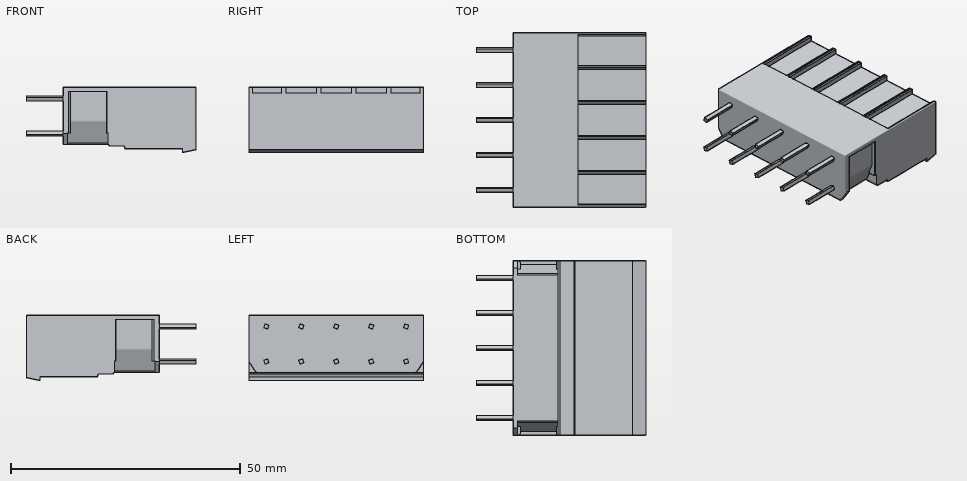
import cadquery as cq
WIDTH = 38.1
LENGTH = 29.0
HALF_WIDTH = WIDTH / 2
POLE_COUNT = 5
POLE_PITCH = WIDTH / POLE_COUNT
EDGE_RADIUS = 0.2

NOSE_BOTTOM = -12.55
SHOULDER_BOTTOM = -12.88
BODY_BOTTOM = -13.45
LATCH_BOTTOM = -14.3
REAR_BOTTOM = -13.65
NOSE_END = 9.83
SHOULDER_CHAMFER = 0.4
SHOULDER_END = 13.3
STEP_DRAFT = 0.2
LATCH_START = 26.0
REAR_EDGE_RADIUS = 0.3

CORNER_WIDTH = 1.6
CORNER_TOP = -10.1

FLANGE_THICKNESS = 0.9
POCKET_START = 1.6
POCKET_END = 9.4
POCKET_TOP = -0.9
POCKET_DEPTH = 0.88
FRONT_BEVEL = 0.4
REAR_BEVEL = 0.15
SLOPE_TOP = -7.45
SLOPE_BOTTOM = -12.15
SLOPE_DEPTH = 2.82
FOOT_BEVEL = 0.35
SLOPE_BLEND_RADIUS = 0.9
WIDE_POCKET_TOP = -9.95

RECESS_START = 14.1
RECESS_DEPTH = 1.25
RIB_TOP_WIDTH = 0.3
RIB_BEVEL_WIDTH = 0.3
RIB_BEVEL_HEIGHT = 0.15
END_RIB_TOP_WIDTH = 0.45

PIN_SIZE = 0.88
PIN_LENGTH = 8.0
PIN_TILT = 20.0
UPPER_PIN_Z = -2.48
LOWER_PIN_Z = UPPER_PIN_Z - POLE_PITCH

CUT_MARGIN = 0.4


def make_body():
    """Side profile extruded across the width, with rounded front, top and rear side edges."""
    body = (
        cq.Workplane("XZ")
        .moveTo(0, 0)
        .lineTo(LENGTH, 0)
        .lineTo(LENGTH, REAR_BOTTOM)
        .lineTo(LATCH_START, LATCH_BOTTOM)
        .lineTo(LATCH_START, BODY_BOTTOM)
        .lineTo(SHOULDER_END + STEP_DRAFT, BODY_BOTTOM)
        .lineTo(SHOULDER_END, SHOULDER_BOTTOM)
        .lineTo(NOSE_END + SHOULDER_CHAMFER, SHOULDER_BOTTOM)
        .lineTo(NOSE_END, NOSE_BOTTOM)
        .lineTo(0, NOSE_BOTTOM)
        .close()
        .extrude(HALF_WIDTH, both=True)
    )
    for side in (-1, 1):
        body = body.cut(front_corner(side))
    body = body.faces(">X").edges("|Z").fillet(REAR_EDGE_RADIUS)
    return body.faces("<X or >Z").edges("not >X").fillet(EDGE_RADIUS)


def front_corner(side):
    """Wedge that bevels a lower corner of the nose."""
    slope = (CORNER_TOP - NOSE_BOTTOM) / CORNER_WIDTH
    outside = HALF_WIDTH + CUT_MARGIN
    below = NOSE_BOTTOM - CUT_MARGIN
    return (
        cq.Workplane("YZ")
        .moveTo(side * outside, CORNER_TOP + slope * CUT_MARGIN)
        .lineTo(side * (HALF_WIDTH - CORNER_WIDTH - CUT_MARGIN / slope), below)
        .lineTo(side * outside, below)
        .close()
        .extrude(FLANGE_THICKNESS)
    )


def side_pocket():
    """Cutter for the -Y pocket: flat floor that slopes inward below, wider at the bottom."""
    outer = -HALF_WIDTH
    floor = outer + POCKET_DEPTH
    foot = outer + SLOPE_DEPTH
    below = NOSE_BOTTOM

    def wall_cutter(start, end):
        cutter = (
            cq.Workplane("YZ", origin=(start, 0, 0))
            .moveTo(outer, POCKET_TOP)
            .lineTo(floor, POCKET_TOP)
            .lineTo(floor, SLOPE_TOP)
            .lineTo(foot, SLOPE_BOTTOM)
            .lineTo(foot + FOOT_BEVEL, below)
            .lineTo(outer, below)
            .close()
            .extrude(end - start)
        )
        slope_edge = cq.selectors.NearestToPointSelector(((start + end) / 2, floor, SLOPE_TOP))
        return cutter.edges(slope_edge).fillet(SLOPE_BLEND_RADIUS)

    bevels = (
        cq.Workplane("XY", origin=(0, 0, below))
        .moveTo(POCKET_START - FRONT_BEVEL, outer)
        .lineTo(POCKET_START, outer + FRONT_BEVEL)
        .lineTo(POCKET_END, outer + REAR_BEVEL)
        .lineTo(POCKET_END + REAR_BEVEL, outer)
        .close()
        .extrude(POCKET_TOP - below)
    )
    lower_zone = (
        cq.Workplane("XY", origin=(0, 0, below))
        .rect(2 * LENGTH, 2 * WIDTH)
        .extrude(WIDE_POCKET_TOP - below)
    )
    wide_part = wall_cutter(FLANGE_THICKNESS, NOSE_END).intersect(lower_zone)
    return wall_cutter(POCKET_START, POCKET_END).union(bevels).union(wide_part)


def pole_center(index):
    """Y position of a pole, counted from the -Y end."""
    return (index - (POLE_COUNT - 1) / 2) * POLE_PITCH


def pole_recess(index):
    """Cutter for one open-ended top recess between bevelled ribs."""
    center = pole_center(index)
    low = center - POLE_PITCH / 2 + RIB_TOP_WIDTH / 2
    high = center + POLE_PITCH / 2 - RIB_TOP_WIDTH / 2
    if index == 0:
        low = -HALF_WIDTH + END_RIB_TOP_WIDTH
    if index == POLE_COUNT - 1:
        high = HALF_WIDTH - END_RIB_TOP_WIDTH
    wall_low = low + RIB_BEVEL_WIDTH
    wall_high = high - RIB_BEVEL_WIDTH
    return (
        cq.Workplane("YZ", origin=(RECESS_START, 0, 0))
        .moveTo(low, 0)
        .lineTo(wall_low, -RIB_BEVEL_HEIGHT)
        .lineTo(wall_low, -RECESS_DEPTH)
        .lineTo(wall_high, -RECESS_DEPTH)
        .lineTo(wall_high, -RIB_BEVEL_HEIGHT)
        .lineTo(high, 0)
        .close()
        .extrude(LENGTH - RECESS_START)
    )


def pin(y, z, tilt):
    """Square pin turned about its own axis."""
    return (
        cq.Workplane("YZ", origin=(0, y, z))
        .transformed(rotate=(0, 0, tilt))
        .rect(PIN_SIZE, PIN_SIZE)
        .extrude(-PIN_LENGTH)
    )


result = make_body()
pocket = side_pocket()
result = result.cut(pocket).cut(pocket.mirror("XZ"))
for pole in range(POLE_COUNT):
    pole_y = pole_center(pole)
    result = result.cut(pole_recess(pole))
    result = result.union(pin(pole_y, UPPER_PIN_Z, PIN_TILT))
    result = result.union(pin(pole_y, LOWER_PIN_Z, -PIN_TILT))